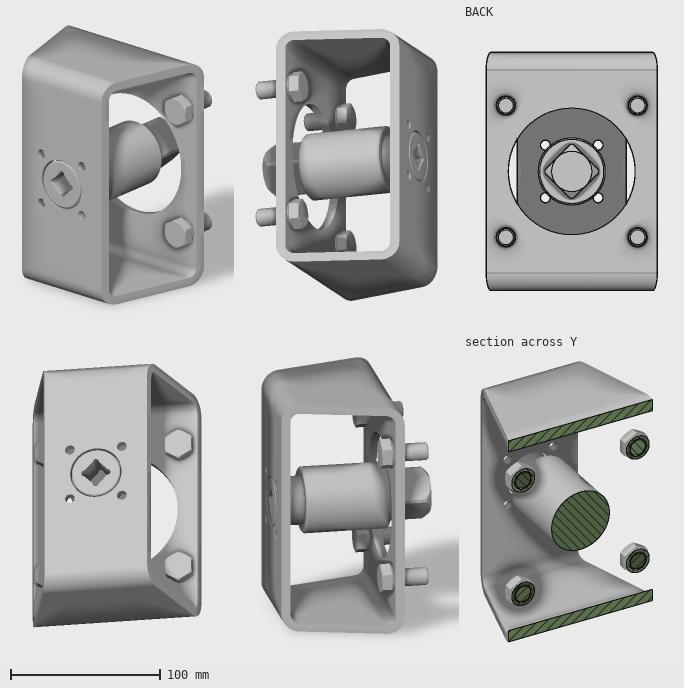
import cadquery as cq
import math


bracket_depth = 80.0
bracket_height = 160.0
bracket_front_width = 70.0
bracket_back_width = 115.0
wall = 6.0
bend_radius = 12.0

small_pitch_diameter = 50.0
small_hole_diameter = 6.5
small_pilot_diameter = 35.0
large_pitch_diameter = 125.0
large_hole_diameter = 13.0
large_pilot_diameter = 85.0

shaft_diameter = 33.0
shaft_chamfer = 0.75
sleeve_diameter = 45.0
sleeve_chamfer = 1.0
sleeve_start = 20.0
sleeve_length = 58.0
sleeve_end = sleeve_start + sleeve_length
square_across_flats = 27.0
square_corner_diameter = 36.0
square_end_chamfer = (square_corner_diameter - square_across_flats) / 2
spindle_length = 107.0

socket_across_flats = 14.0
socket_relief_diameter = 4.0
socket_depth = 20.0

bolt_diameter = 12.0
bolt_length = 25.0
bolt_tip_chamfer = 1.0
head_across_flats = 18.0
head_height = 7.5
bearing_face_diameter = 16.63
bearing_face_height = 0.6
washer_diameter = 18.0
washer_thickness = 1.0
washer_chamfer = 0.5


def cylinder_along_y(diameter, start, end):
    """Solid cylinder on the drive axis between two Y positions."""
    return (
        cq.Workplane("XZ", origin=(0, start, 0))
        .circle(diameter / 2)
        .extrude(start - end)
    )


def square_corners(pitch_diameter):
    """X, Z positions of four holes on a pitch circle, at 45 degrees to the axes."""
    offset = pitch_diameter / 2 * math.sqrt(0.5)
    return [(x, z) for x in (-offset, offset) for z in (-offset, offset)]


def hole_pattern(pitch_diameter, hole_diameter, start, end):
    """Four cylinders along Y, used to cut a hole pattern."""
    return (
        cq.Workplane("XZ", origin=(0, start, 0))
        .pushPoints(square_corners(pitch_diameter))
        .circle(hole_diameter / 2)
        .extrude(start - end)
    )


def tube(inset, radius):
    """Rounded rectangular bar along X, inset from the outside of the bracket."""
    return (
        cq.Workplane("YZ")
        .center(bracket_depth / 2, 0)
        .rect(bracket_depth - 2 * inset, bracket_height - 2 * inset)
        .extrude(bracket_back_width / 2, both=True)
        .edges("|X")
        .fillet(radius)
    )


def make_bracket():
    trapezoid = (
        cq.Workplane("XY")
        .polyline(
            [
                (-bracket_front_width / 2, 0),
                (bracket_front_width / 2, 0),
                (bracket_back_width / 2, bracket_depth),
                (-bracket_back_width / 2, bracket_depth),
            ]
        )
        .close()
        .extrude(bracket_height / 2, both=True)
    )
    body = tube(0, bend_radius).cut(tube(wall, bend_radius - wall)).intersect(trapezoid)

    back_inner = bracket_depth - wall
    body = body.cut(cylinder_along_y(small_pilot_diameter, 0, wall))
    body = body.cut(hole_pattern(small_pitch_diameter, small_hole_diameter, 0, wall))
    body = body.cut(cylinder_along_y(large_pilot_diameter, back_inner, bracket_depth))
    return body.cut(hole_pattern(large_pitch_diameter, large_hole_diameter, back_inner, bracket_depth))


def make_socket():
    """Square socket set on its corner, with a round relief in each corner."""
    relief_offset = socket_across_flats * math.sqrt(0.5) - socket_relief_diameter / 2
    square = (
        cq.Workplane("XZ")
        .transformed(rotate=(0, 0, 45))
        .rect(socket_across_flats, socket_across_flats)
        .extrude(-socket_depth)
    )
    reliefs = (
        cq.Workplane("XZ")
        .polarArray(relief_offset, 0, 360, 4)
        .circle(socket_relief_diameter / 2)
        .extrude(-socket_depth)
    )
    return square.union(reliefs)


def make_spindle():
    shaft = cylinder_along_y(shaft_diameter, 0, sleeve_start).faces("<Y").chamfer(shaft_chamfer)
    sleeve = (
        cylinder_along_y(sleeve_diameter, sleeve_start, sleeve_end)
        .faces("<Y or >Y")
        .chamfer(sleeve_chamfer)
    )
    corner_round = (
        cylinder_along_y(square_corner_diameter, sleeve_end, spindle_length)
        .faces(">Y")
        .chamfer(square_end_chamfer)
    )
    square = (
        cq.Workplane("XZ", origin=(0, sleeve_end, 0))
        .transformed(rotate=(0, 0, 45))
        .rect(square_across_flats, square_across_flats)
        .extrude(sleeve_end - spindle_length)
        .intersect(corner_round)
    )
    return shaft.union(sleeve).union(square).cut(make_socket())


def make_bolt(x, z):
    """Hexagon bolt pointing to +Y, with its head inside the bracket."""
    bearing_y = bracket_depth - wall - washer_thickness
    hex_base_y = bearing_y - bearing_face_height
    head_top_y = bearing_y - head_height
    corner_diameter = head_across_flats / math.cos(math.pi / 6)
    corner_chamfer = (corner_diameter - head_across_flats) / 2
    corner_cone = (
        cylinder_along_y(corner_diameter, head_top_y, hex_base_y)
        .faces("<Y")
        .chamfer(corner_chamfer * math.tan(math.pi / 6), corner_chamfer)
    )
    head = (
        cq.Workplane("XZ", origin=(0, head_top_y, 0))
        .transformed(rotate=(0, 0, 90))
        .polygon(6, corner_diameter)
        .extrude(head_top_y - hex_base_y)
        .intersect(corner_cone)
    )
    bearing_face = cylinder_along_y(bearing_face_diameter, hex_base_y, bearing_y)
    shank = (
        cylinder_along_y(bolt_diameter, bearing_y, bearing_y + bolt_length)
        .faces(">Y")
        .chamfer(bolt_tip_chamfer)
    )
    return head.union(bearing_face).union(shank).translate((x, 0, z))


def make_washer(x, z):
    """Washer between a bolt head and the back wall of the bracket."""
    seat_y = bracket_depth - wall
    disc = (
        cylinder_along_y(washer_diameter, seat_y - washer_thickness, seat_y)
        .faces("<Y")
        .chamfer(washer_chamfer)
    )
    bore = cylinder_along_y(large_hole_diameter, seat_y - washer_thickness, seat_y)
    return disc.cut(bore).translate((x, 0, z))


bracket = make_bracket()
spindle = make_spindle()
bolts = [make_bolt(x, z).val() for x, z in square_corners(large_pitch_diameter)]
washers = [make_washer(x, z).val() for x, z in square_corners(large_pitch_diameter)]

result = cq.Compound.makeCompound([bracket.val(), spindle.val(), *bolts, *washers])